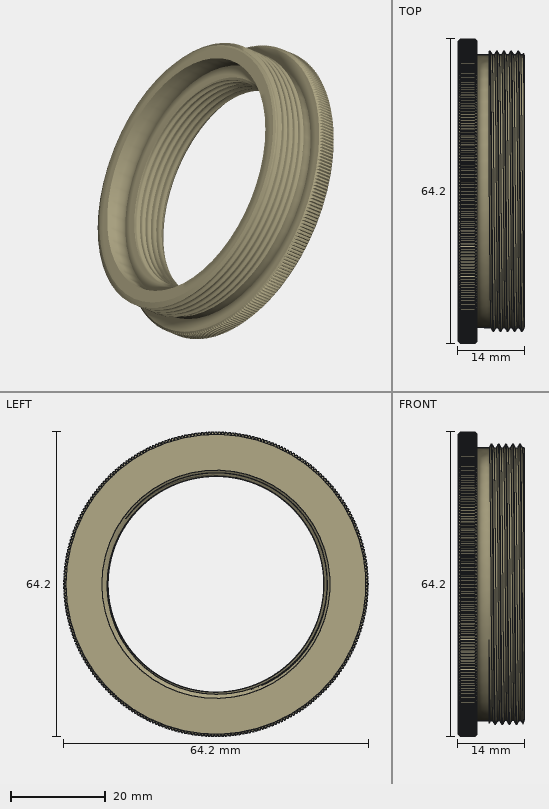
import cadquery as cq
import math


total_length = 14.0
flange_width = 4.0
thread_start = 6.5
counterbore_start = 9.0

flange_radius = 32.1
flange_chamfer = 0.5
knurl_count = 280
knurl_depth = 0.4
knurl_land_share = 0.4
knurl_root_radius = flange_radius - knurl_depth
rim_inner_radius = 30.0

sleeve_radius = 57.6 / 2
end_face_radius = 28.4
end_bevel_length = 0.4

bore_radius = 47.0 / 2
mouth_radius = 48.1 / 2
counterbore_radius = 51.66 / 2

pitch = 1.5
ridge_height = 0.75
ridge_base_width = 1.0
ridge_crest_width = 0.15
ridge_embed = 0.1
outer_thread_phase = 0.15
inner_thread_phase = 0.9


def disc(radius, start, end):
    return cq.Workplane("XY").workplane(offset=start).circle(radius).extrude(end - start)


def polar(radius, angle):
    return radius * math.cos(angle), radius * math.sin(angle)


def ridge(root_radius, outward, first_crest, last_crest):
    """Helical ridge whose crest stands ridge_height off the root cylinder."""
    helix = cq.Wire.makeHelix(pitch, last_crest - first_crest, root_radius)
    helix = helix.moved(cq.Location(cq.Vector(0, 0, first_crest)))
    embedded_radius = root_radius - outward * ridge_embed
    crest_radius = root_radius + outward * ridge_height
    flank_slope = (ridge_base_width - ridge_crest_width) / ridge_height
    half_embedded = (ridge_base_width + flank_slope * ridge_embed) / 2
    half_crest = ridge_crest_width / 2
    profile = cq.Workplane("XZ").polyline([
        (embedded_radius, first_crest - half_embedded),
        (crest_radius, first_crest - half_crest),
        (crest_radius, first_crest + half_crest),
        (embedded_radius, first_crest + half_embedded),
    ]).close()
    return profile.sweep(cq.Workplane(helix), isFrenet=True)


def knurled_rim():
    """Outer part of the flange, with V grooves between flat-topped teeth."""
    step = 2 * math.pi / knurl_count
    half_land = knurl_land_share * step / 2
    points = []
    for i in range(knurl_count):
        tooth_angle = i * step
        points.append(polar(flange_radius, tooth_angle - half_land))
        points.append(polar(flange_radius, tooth_angle + half_land))
        points.append(polar(knurl_root_radius, tooth_angle + step / 2))
    knurl = cq.Workplane("XY").polyline(points).close().extrude(flange_width)
    envelope = disc(flange_radius, 0, flange_width).edges().chamfer(flange_chamfer)
    return knurl.intersect(envelope).cut(disc(rim_inner_radius, 0, flange_width))


def threaded_sleeve():
    """Plain neck behind the flange, then the outer thread with a bevelled end."""
    neck = disc(sleeve_radius, flange_width, thread_start)
    limit_radius = sleeve_radius + ridge_height + ridge_embed
    first_crest = thread_start - 2 * pitch + outer_thread_phase
    last_crest = total_length + pitch
    core = disc(sleeve_radius, first_crest - pitch, last_crest + pitch)
    thread = core.union(ridge(sleeve_radius, 1, first_crest, last_crest))
    limits = disc(limit_radius, thread_start, total_length)
    limits = limits.faces(">Z").chamfer(end_bevel_length, limit_radius - end_face_radius)
    return neck.union(thread.intersect(limits))


def threaded_liner():
    """Inner ring with the inner thread and its conical mouth; fills the counterbore diameter."""
    first_crest = inner_thread_phase - 2 * pitch
    last_crest = counterbore_start + 2 * pitch
    crest_radius = bore_radius - ridge_height
    hollow_radius = crest_radius - ridge_embed
    core = disc(counterbore_radius, first_crest - pitch, last_crest + pitch)
    core = core.cut(disc(bore_radius, first_crest - pitch, last_crest + pitch))
    thread = core.union(ridge(bore_radius, -1, first_crest, last_crest))
    limits = disc(counterbore_radius + ridge_embed, 0, counterbore_start)
    limits = limits.cut(disc(hollow_radius, 0, counterbore_start))
    mouth_edge = limits.faces("<Z").edges("%CIRCLE").edges(cq.selectors.RadiusNthSelector(0))
    limits = mouth_edge.chamfer(mouth_radius - hollow_radius)
    return thread.intersect(limits)


body = disc(rim_inner_radius, 0, flange_width).union(threaded_sleeve())
body = body.cut(disc(counterbore_radius, 0, total_length))
body = body.union(knurled_rim())
ring = body.union(threaded_liner(), glue=True)

result = cq.Workplane(obj=ring.val().moved(cq.Location(cq.Plane.YZ())))